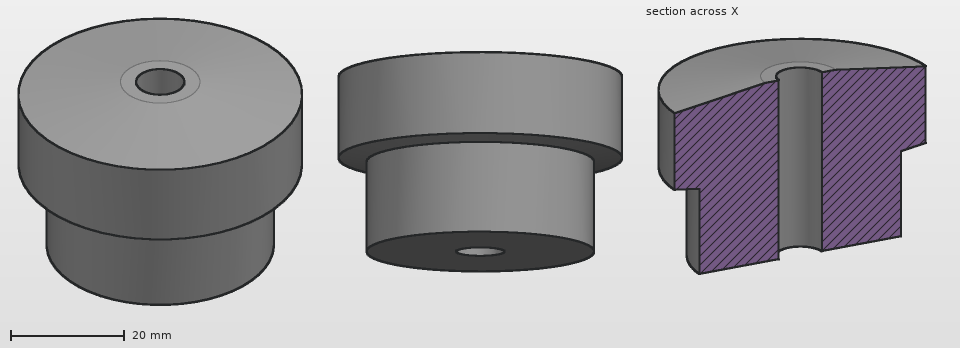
import cadquery as cq

head_radius = 25.0
stem_radius = 20.05
flat_radius = 7.0
hole_radius = 4.25
total_height = 33.8

stem_height = 16.05
under_cone_height = 0.7
top_cone_height = 2.55

rim_bottom = stem_height + under_cone_height
rim_top = total_height - top_cone_height

profile = (
    cq.Workplane("XZ")
    .moveTo(hole_radius, 0)
    .lineTo(stem_radius, 0)
    .lineTo(stem_radius, stem_height)
    .lineTo(head_radius, rim_bottom)
    .lineTo(head_radius, rim_top)
    .lineTo(flat_radius, total_height)
    .lineTo(hole_radius, total_height)
    .close()
)

result = profile.revolve(360, (0, 0, 0), (0, 1, 0))